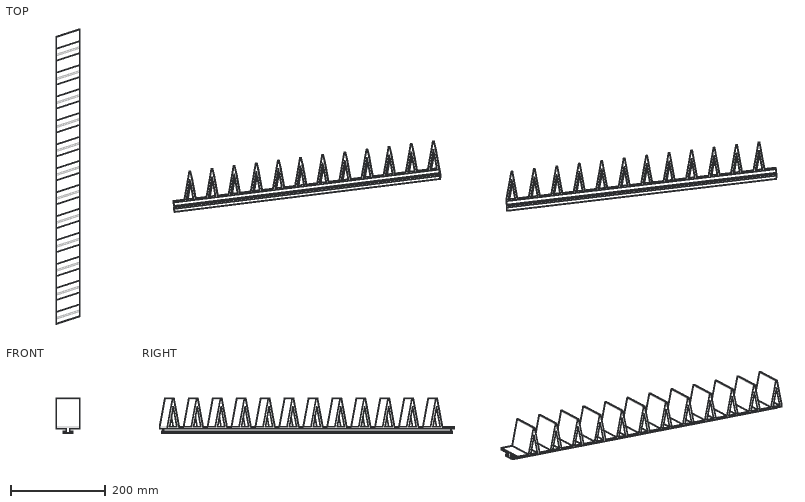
import cadquery as cq
import math

tooth_count = 12
tooth_pitch = 50.8
strip_width = 50.8
skew_angle = 18.0
total_height = 74.32

foot_width = 20.32
foot_thickness = 3.81
neck_width = 7.62
neck_height = 5.3

plate_thickness = 3.81

tooth_base = 25.4
flank_angle = 10.5
wall_run = 5.08
pocket_height = 42.5
web_thickness = 3.81

skew_slope = math.tan(math.radians(skew_angle))
flank_sin = math.sin(math.radians(flank_angle))
flank_cos = math.cos(math.radians(flank_angle))
flank_tan = math.tan(math.radians(flank_angle))
strip_length = tooth_count * tooth_pitch
plate_bottom = foot_thickness + neck_height
plate_top = plate_bottom + plate_thickness
tooth_height = total_height - plate_top
sharp_tooth_height = tooth_base / 2 / flank_tan
tooth_tip_radius = (sharp_tooth_height - tooth_height) / (1 / flank_sin - 1)
pocket_base = tooth_base - 2 * wall_run
pocket_depth = (strip_width - web_thickness) / 2


def raked_prism(profile, start_x, width):
    """Sweep a closed (Y, Z) profile along the skew, from start_x across width.

    The profile describes the section at X = 0.
    """
    wire = profile.translate((start_x, start_x * skew_slope, 0)).wires().val()
    sweep = cq.Vector(width, width * skew_slope, 0)
    return cq.Workplane(obj=cq.Solid.extrudeLinear(wire, [], sweep))


def make_raked_bar(width, bottom, height):
    """Full-length bar, centred on X, with raked ends."""
    profile = cq.Workplane("YZ").moveTo(0, bottom).rect(strip_length, height, centered=False)
    return raked_prism(profile, -width / 2, width)


def tooth_profile(center_y):
    """Triangle on the plate whose rounded tip is tangent to both flanks."""
    tip_center_z = total_height - tooth_tip_radius
    tangent_y = tooth_tip_radius * flank_cos
    tangent_z = tip_center_z + tooth_tip_radius * flank_sin
    return (
        cq.Workplane("YZ")
        .moveTo(center_y - tooth_base / 2, plate_top)
        .lineTo(center_y - tangent_y, tangent_z)
        .threePointArc((center_y, total_height), (center_y + tangent_y, tangent_z))
        .lineTo(center_y + tooth_base / 2, plate_top)
        .close()
    )


def pocket_profile(center_y):
    """Sharp triangle standing on the plate, inside the tooth outline."""
    return (
        cq.Workplane("YZ")
        .moveTo(center_y - pocket_base / 2, plate_top)
        .lineTo(center_y, plate_top + pocket_height)
        .lineTo(center_y + pocket_base / 2, plate_top)
        .close()
    )


def make_tooth(center_y):
    """Tooth with a blind pocket in each end and a web between the pockets."""
    tooth = raked_prism(tooth_profile(center_y), -strip_width / 2, strip_width)
    for start_x in (-strip_width / 2, web_thickness / 2):
        tooth = tooth.cut(raked_prism(pocket_profile(center_y), start_x, pocket_depth))
    return tooth


foot = make_raked_bar(foot_width, 0, foot_thickness)
neck = make_raked_bar(neck_width, foot_thickness, neck_height)
plate = make_raked_bar(strip_width, plate_bottom, plate_thickness)
result = foot.union(neck).union(plate)
for index in range(tooth_count):
    result = result.union(make_tooth(index * tooth_pitch + tooth_base / 2))